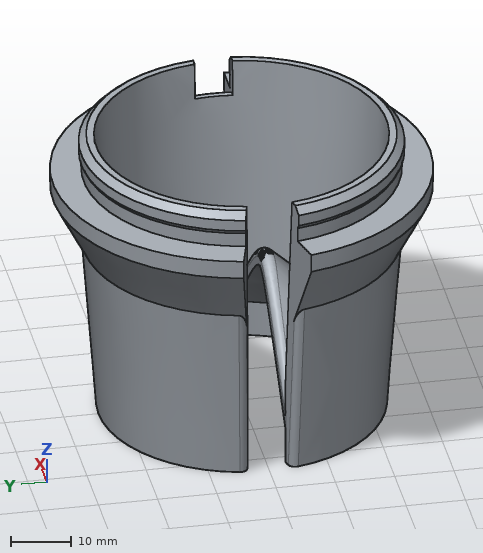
import cadquery as cq
import math

HEIGHT = 50.8
FLANGE_TOP = 44.45
FLANGE_THICKNESS = 3.175
FLANGE_BOTTOM = FLANGE_TOP - FLANGE_THICKNESS
FLARE_BOTTOM = 31.2
BORE_TAPER_START = 12.7
FLOOR_UNDERSIDE = 6.35
GROOVE_TOP = 46.9
LIP_BOTTOM = 47.6

FLANGE_RADIUS = 31.75
LIP_RADIUS = 27.0
GROOVE_RADIUS = 26.6
LIP_CHAMFER = 1.25
BODY_BOTTOM_RADIUS = 24.15
BODY_TOP_RADIUS = 26.55
BORE_RADIUS = 21.8

BORE_TAPER = math.radians(4)
FLOOR_SLOPE = math.radians(45)
FLOOR_THICKNESS = 3.175

SLOT_HALF_WIDTH = 6.35 / 2
SLOT_FLARE = math.radians(15)
KEY_WALL_RADIUS = 25.1
EDGE_ROUNDING = 1.27

OVERSHOOT = 5.0
FLOOR_OVERLAP = 1.0

bore_top_radius = BORE_RADIUS + (HEIGHT - BORE_TAPER_START) * math.tan(BORE_TAPER)


def revolve(outline):
    """Revolve a closed (radius, z) outline around the Z axis."""
    return cq.Workplane("XZ").polyline(outline).close().revolve(360, (0, 0), (0, 1))


def make_slot():
    """Vertical slot from the bore through the -X wall, widening outside the bore."""
    outer_x = -(FLANGE_RADIUS + OVERSHOOT)
    outer_half_width = SLOT_HALF_WIDTH - (outer_x + BORE_RADIUS) * math.tan(SLOT_FLARE)
    outline = [
        (0, SLOT_HALF_WIDTH),
        (-BORE_RADIUS, SLOT_HALF_WIDTH),
        (outer_x, outer_half_width),
        (outer_x, -outer_half_width),
        (-BORE_RADIUS, -SLOT_HALF_WIDTH),
        (0, -SLOT_HALF_WIDTH),
    ]
    return cq.Workplane("XY").polyline(outline).close().extrude(HEIGHT)


def make_bore():
    """Bore that is straight at the bottom and widens with a taper above."""
    return revolve([
        (0, 0),
        (BORE_RADIUS, 0),
        (BORE_RADIUS, BORE_TAPER_START),
        (bore_top_radius, HEIGHT),
        (0, HEIGHT),
    ])


def make_body(slot):
    """Tapered lower body, split by the slot, with rounded outer slot edges."""
    body = revolve([
        (0, 0),
        (BODY_BOTTOM_RADIUS, 0),
        (BODY_TOP_RADIUS, FLARE_BOTTOM),
        (0, FLARE_BOTTOM),
    ]).cut(slot)
    return body.edges("%HYPERBOLA").fillet(EDGE_ROUNDING)


def make_collar(slot):
    """Flared flange and grooved lip; the flare runs on down inside the body."""
    flare_slope = (FLANGE_BOTTOM - FLARE_BOTTOM) / (FLANGE_RADIUS - BODY_TOP_RADIUS)
    root_z = FLARE_BOTTOM - (BODY_TOP_RADIUS - BORE_RADIUS) * flare_slope
    return revolve([
        (0, root_z),
        (BORE_RADIUS, root_z),
        (FLANGE_RADIUS, FLANGE_BOTTOM),
        (FLANGE_RADIUS, FLANGE_TOP),
        (GROOVE_RADIUS, FLANGE_TOP),
        (GROOVE_RADIUS, GROOVE_TOP),
        (LIP_RADIUS, LIP_BOTTOM),
        (LIP_RADIUS, HEIGHT - LIP_CHAMFER),
        (LIP_RADIUS - LIP_CHAMFER, HEIGHT),
        (0, HEIGHT),
    ]).cut(slot)


def make_key_cuts():
    """Groove down the outside of the +X wall, and a notch through its top."""
    depth = FLANGE_RADIUS + OVERSHOOT
    strip = cq.Workplane("XY").box(depth, 2 * SLOT_HALF_WIDTH, HEIGHT, centered=(False, True, False))
    groove = strip.cut(cq.Workplane("XY").circle(KEY_WALL_RADIUS).extrude(HEIGHT))
    notch = strip.translate((0, 0, FLANGE_TOP))
    return groove.union(notch)


def make_floor():
    """Two halves of a conical floor, apex up, with rounded upper edges along the gap."""
    outer_radius = BORE_RADIUS + FLOOR_OVERLAP
    rise = math.tan(FLOOR_SLOPE)
    lower_edge_z = FLOOR_UNDERSIDE - FLOOR_OVERLAP * rise
    lower_apex_z = FLOOR_UNDERSIDE + BORE_RADIUS * rise
    vertical_thickness = FLOOR_THICKNESS / math.cos(FLOOR_SLOPE)
    shell = revolve([
        (0, lower_apex_z),
        (outer_radius, lower_edge_z),
        (outer_radius, lower_edge_z + vertical_thickness),
        (0, lower_apex_z + vertical_thickness),
    ])
    gap = cq.Workplane("XY").box(
        2 * FLANGE_RADIUS, 2 * SLOT_HALF_WIDTH, HEIGHT, centered=(True, True, False)
    )
    halves = shell.cut(gap)
    return halves.edges("%HYPERBOLA").edges(">Z").fillet(EDGE_ROUNDING)


slot = make_slot()
tube = make_body(slot).union(make_collar(slot)).cut(make_bore()).cut(make_key_cuts())
floor = make_floor().cut(slot)
result = tube.union(floor)